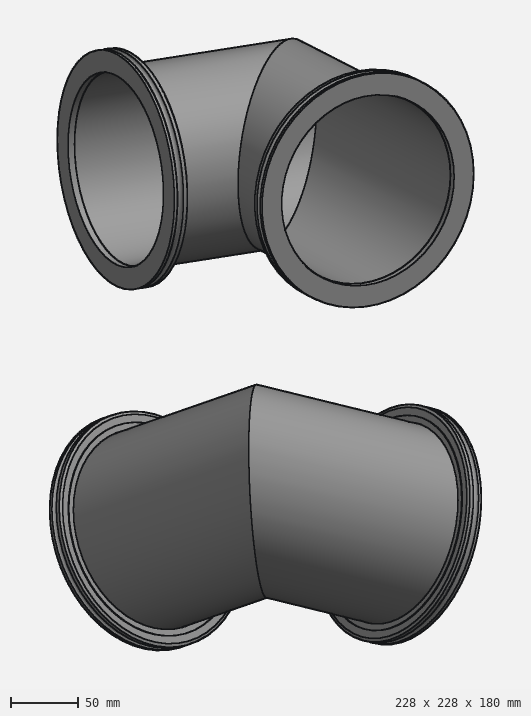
import cadquery as cq

overall_size = 228.0
flange_diameter = 180.0
flange_radius = flange_diameter / 2
end_distance = overall_size - flange_radius

pipe_outer_diameter = 152.5
pipe_inner_diameter = 146.0

flange_thickness = 12.0
flange_bore_diameter = 146.5
socket_diameter = 153.0
socket_floor = 5.5
recess_diameter = 163.0
recess_depth = 0.7
groove_diameter = 175.0
groove_front = 2.7
groove_back = 7.7
bevel_diameter = 175.0
bevel_width = 1.0

pipe_length = end_distance - socket_floor


def make_pipe():
    """Pipe along +X, mitred at 45 degrees through the axis crossing."""
    pipe_radius = pipe_outer_diameter / 2
    blank = (
        cq.Workplane("YZ")
        .workplane(offset=-pipe_radius)
        .circle(pipe_radius)
        .circle(pipe_inner_diameter / 2)
        .extrude(pipe_length + pipe_radius)
    )
    reach = 2 * overall_size
    kept_side = (
        cq.Workplane("XY")
        .workplane(offset=-overall_size)
        .polyline([(-reach, reach), (reach, reach), (reach, -reach)])
        .close()
        .extrude(2 * overall_size)
    )
    return blank.intersect(kept_side)


def make_flange():
    """Flange around the X axis, with a round rim groove and a pipe socket in its back face."""
    front = end_distance
    back = front - flange_thickness
    groove_radius = groove_diameter / 2
    groove_middle = front - (groove_front + groove_back) / 2
    return (
        cq.Workplane("XY")
        .moveTo(front, flange_bore_diameter / 2)
        .lineTo(front, flange_radius)
        .lineTo(front - groove_front, flange_radius)
        .threePointArc((groove_middle, groove_radius), (front - groove_back, flange_radius))
        .lineTo(back + bevel_width, flange_radius)
        .lineTo(back, bevel_diameter / 2)
        .lineTo(back, recess_diameter / 2)
        .lineTo(back + recess_depth, recess_diameter / 2)
        .lineTo(back + recess_depth, socket_diameter / 2)
        .lineTo(front - socket_floor, socket_diameter / 2)
        .lineTo(front - socket_floor, flange_bore_diameter / 2)
        .close()
        .revolve(360, (0, 0, 0), (1, 0, 0))
    )


def to_second_branch(body):
    """Mirrored copy on the -Y branch: a quarter turn about Z and a flip across its axis."""
    return body.mirror("YZ").rotate((0, 0, 0), (0, 0, 1), 90)


bodies = []
for branch_body in (make_pipe(), make_flange()):
    bodies.append(branch_body.val())
    bodies.append(to_second_branch(branch_body).val())

result = cq.Compound.makeCompound(bodies)